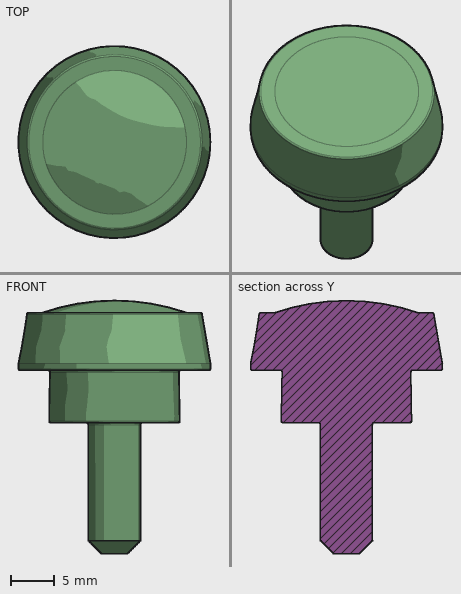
import cadquery as cq

total_height = 29.0
stud_length = 15.0
hub_height = 6.0
cap_height = 6.6
band_height = 0.8

stud_diameter = 6.0
hub_bottom_diameter = 15.0
hub_top_diameter = 14.8
cap_diameter = 22.0
cap_top_diameter = 20.0
dome_diameter = 16.47

tip_chamfer = 1.5
edge_radius = 0.2

hub_bottom = stud_length
cap_bottom = hub_bottom + hub_height
band_top = cap_bottom + band_height
cap_top = cap_bottom + cap_height

dome_radius = dome_diameter / 2
dome_height = total_height - cap_top
sphere_radius = (dome_radius**2 + dome_height**2) / (2 * dome_height)
sphere_center = total_height - sphere_radius
arc_mid_radius = dome_radius / 2
arc_mid_height = sphere_center + (sphere_radius**2 - arc_mid_radius**2) ** 0.5

half_section = (
    cq.Workplane("XZ")
    .moveTo(0, 0)
    .lineTo(stud_diameter / 2 - tip_chamfer, 0)
    .lineTo(stud_diameter / 2, tip_chamfer)
    .lineTo(stud_diameter / 2, hub_bottom)
    .lineTo(hub_bottom_diameter / 2, hub_bottom)
    .lineTo(hub_top_diameter / 2, cap_bottom)
    .lineTo(cap_diameter / 2, cap_bottom)
    .lineTo(cap_diameter / 2, band_top)
    .lineTo(cap_top_diameter / 2, cap_top)
    .lineTo(dome_radius, cap_top)
    .threePointArc((arc_mid_radius, arc_mid_height), (0, total_height))
    .close()
)
knob = half_section.revolve(360, (0, 0, 0), (0, 1, 0))


def round_ring(body, diameter, height):
    """Fillet the circular edge of the given diameter at the given height."""
    match_tolerance = 0.003

    def is_ring(edge):
        radius_error = abs(edge.radius() - diameter / 2)
        height_error = abs(edge.Center().z - height)
        return max(radius_error, height_error) < match_tolerance

    return body.edges("%CIRCLE").filter(is_ring).fillet(edge_radius)


rounded_rings = [
    (stud_diameter, hub_bottom),
    (hub_bottom_diameter, hub_bottom),
    (hub_top_diameter, cap_bottom),
    (cap_diameter, cap_bottom),
    (cap_top_diameter, cap_top),
]
for ring_diameter, ring_height in rounded_rings:
    knob = round_ring(knob, ring_diameter, ring_height)

result = knob